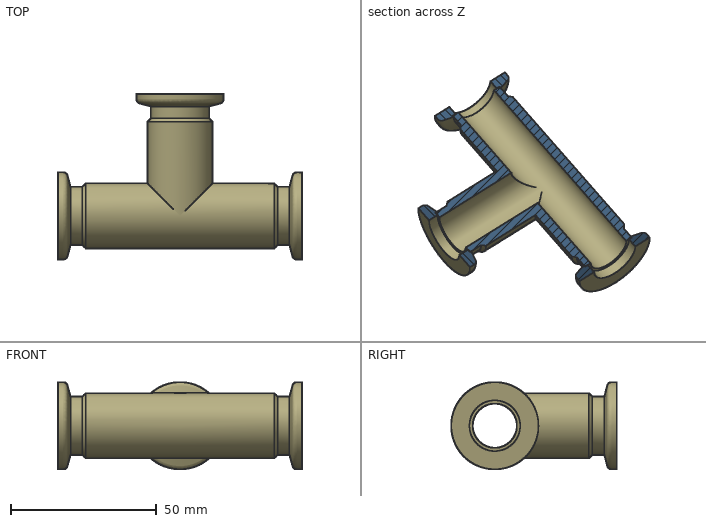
import cadquery as cq
import math

run_length = 83.8
branch_length = run_length / 2

body_radius = 11.2
neck_radius = 10.05
bore_radius = 7.55
shoulder_start = 9.6
shoulder_end = 8.4

flange_radius = 15.0
flange_thickness = 4.35
taper_angle = 15.0
rim_fillet = 1.6
recess_radius = 8.7
recess_depth = 3.6

rim_width = flange_thickness - (flange_radius - neck_radius) * math.tan(math.radians(taper_angle))

arms = [(0, branch_length), (90, run_length / 2), (-90, run_length / 2)]


def revolve_about_y(profile):
    """Revolve a closed outline of (radius, y) points about the Y axis."""
    return cq.Workplane("XY").polyline(profile).close().revolve(360, (0, 0, 0), (0, 1, 0))


def turn_about_z(shape, angle):
    return shape.rotate((0, 0, 0), (0, 0, 1), angle)


def make_solid_arm(length):
    """Arm of the tee along +Y, from the crossing to the end of its neck."""
    return revolve_about_y([
        (0, 0),
        (body_radius, 0),
        (body_radius, length - shoulder_start),
        (neck_radius, length - shoulder_end),
        (neck_radius, length - recess_depth),
        (0, length - recess_depth),
    ])


def make_arm_bore(length):
    """Bore of one arm along +Y, from the crossing out through the neck."""
    bore_length = length - recess_depth
    return revolve_about_y([(0, 0), (bore_radius, 0), (bore_radius, bore_length), (0, bore_length)])


def make_tee():
    """Three joined arms with mitred intersections and meeting bores."""
    body = cq.Workplane("XY")
    for angle, length in arms:
        body = body.union(turn_about_z(make_solid_arm(length), angle))
    for angle, length in arms:
        body = body.cut(turn_about_z(make_arm_bore(length), angle))
    return body


def make_flange():
    """Flange on the Y axis, sealing face at the origin facing +Y, socketed for the neck."""
    flange = revolve_about_y([
        (recess_radius, 0),
        (flange_radius, 0),
        (flange_radius, -rim_width),
        (neck_radius, -flange_thickness),
        (neck_radius, -recess_depth),
        (recess_radius, -recess_depth),
    ])
    outer_circles = flange.edges("%CIRCLE").edges(cq.selectors.RadiusNthSelector(-1))
    return outer_circles.edges("<Y").fillet(rim_fillet)


tee = make_tee()

flanges = []
for angle, length in arms:
    flange = make_flange().translate((0, length, 0))
    flanges.append(turn_about_z(flange, angle))

result = cq.Compound.makeCompound([tee.solids().val(), *[flange.solids().val() for flange in flanges]])